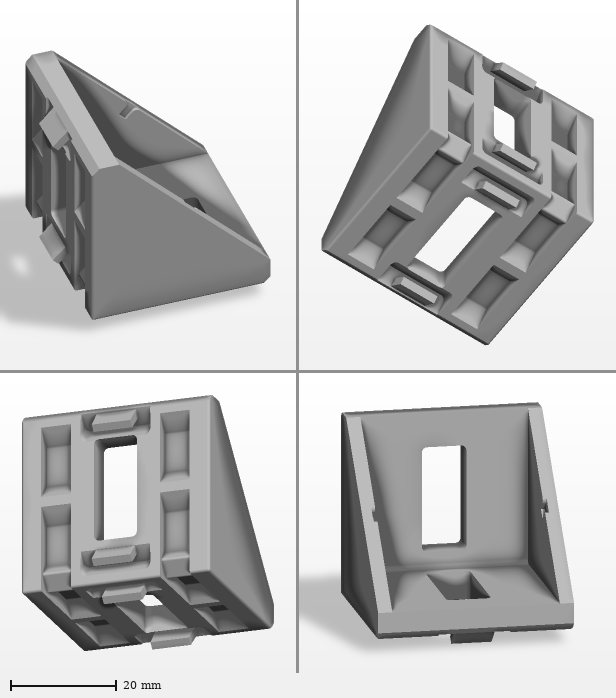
import cadquery as cq
import math


width = 38.0
leg = 36.0
plate_thickness = 5.5
wall_thickness = 2.75
end_chamfer = 1.5
outer_fillet = 0.5
inner_fillet = 1.0

slot_width = 8.6
slot_start = 8.8
slot_end = 29.35
slot_corner_radius = 1.0

pocket_width = 6.0
pocket_center_x = 12.0
pocket_depth = 3.1
end_pocket_start = 19.0
end_pocket_end = 33.0
corner_pocket_end = 17.0
pocket_fillet = 0.45
corner_pocket_fillet = 0.65
corner_rib_offset = 3.0
corner_rib_tip = 4.4
corner_rib_fillet = 0.45

draft_angle = 1.0
tab_pitch = 27.1
tab_tip_width = 7.8
tab_tip_thickness = 1.57
tab_reach = 2.52
lower_tab_tip_height = 4.33
lower_recess_bottom = 2.1
lower_recess_top = 7.0
upper_recess_top = 35.15
recess_width = 14.0
recess_corner_radius = 1.0

notch_width = 2.1
notch_depth = 3.0
notch_into_wall = 0.75
notch_lip_radius = 0.95

clearance = 5.0


def mirrored_pair(shape):
    """The shape together with its mirror image about the plane y = z."""
    return shape.union(shape.mirror(cq.Vector(0, 1, -1), (0, 0, 0)))


def x_prism(points, x_start, x_end):
    """Extrude an outline given as (y, z) points between two X positions."""
    return cq.Workplane("YZ", origin=(x_start, 0, 0)).polyline(points).close().extrude(x_end - x_start)


def body():
    """Solid wedge with chamfered ends and rounded edges around both mounting faces."""
    outline = [
        (0, 0),
        (leg - end_chamfer, 0),
        (leg, end_chamfer),
        (leg, plate_thickness),
        (plate_thickness, leg),
        (end_chamfer, leg),
        (0, leg - end_chamfer),
    ]
    block = x_prism(outline, -width / 2, width / 2)
    corner_edge = block.edges("|X").edges(cq.NearestToPointSelector((0, 0, 0)))
    side_edges = block.faces("<Y or <Z").edges("|Y or |Z")
    return block.newObject(corner_edge.vals() + side_edges.vals()).fillet(outer_fillet)


def interior():
    """Space between the plates and the side walls, open through the sloping side."""
    inner_x = width / 2 - wall_thickness
    triangle = [
        (plate_thickness, plate_thickness),
        (leg, plate_thickness),
        (plate_thickness, leg),
    ]
    space = x_prism(triangle, -inner_x, inner_x)
    return space.edges(cq.NearestToPointSelector((0, plate_thickness, plate_thickness))).fillet(inner_fillet)


def screw_slot():
    """Slot through the plate at y = 0."""
    slot = cq.Workplane("XY").box(slot_width, plate_thickness, slot_end - slot_start)
    slot = slot.edges("|Y").fillet(slot_corner_radius)
    return slot.translate((0, plate_thickness / 2, (slot_start + slot_end) / 2))


def end_pocket(x_start):
    """Pocket near the free end of the plate at y = 0."""
    outline = [
        (0, end_pocket_start),
        (pocket_depth, end_pocket_start + pocket_depth),
        (pocket_depth, end_pocket_end - pocket_depth),
        (0, end_pocket_end),
    ]
    pocket = x_prism(outline, x_start, x_start + pocket_width)
    far_edge = cq.NearestToPointSelector((x_start + pocket_width / 2, *outline[2]))
    return pocket.edges(far_edge).fillet(pocket_fillet)


def corner_pocket(x_start):
    """Pocket that runs around the bracket's corner and leaves a diagonal rib inside it."""
    tip_near = (corner_rib_tip - corner_rib_offset) / 2
    tip_far = (corner_rib_tip + corner_rib_offset) / 2
    upper_half = [
        (0, corner_pocket_end),
        (pocket_depth, corner_pocket_end - pocket_depth),
        (pocket_depth, pocket_depth + corner_rib_offset),
        (tip_near, tip_far),
    ]
    lower_half = [(z, y) for y, z in reversed(upper_half)]
    pocket = x_prism([(0, 0)] + upper_half + lower_half, x_start, x_start + pocket_width)
    radii = [pocket_fillet, corner_pocket_fillet, corner_rib_fillet]
    for (y, z), radius in zip(upper_half[1:], radii):
        for edge_point in ((y, z), (z, y)):
            nearest = cq.NearestToPointSelector((x_start + pocket_width / 2, *edge_point))
            pocket = pocket.edges("|X").edges(nearest).fillet(radius)
    return pocket


def leaning_plane(height):
    """Plane through (y, z) = (0, height) whose normal leans out and down at 45 degrees."""
    return cq.Plane(origin=(0, 0, height), xDir=(1, 0, 0), normal=(0, -1, -1))


def recess(bottom, top):
    """Recess around a tab: a floor and a ledge at 45 degrees, widening outwards by the draft."""
    ledge = (bottom - top) / math.sqrt(2)
    half = recess_width / 2
    radius = recess_corner_radius
    return (
        cq.Workplane(leaning_plane(top))
        .moveTo(-half, clearance)
        .lineTo(-half, ledge + radius)
        .radiusArc((-half + radius, ledge), -radius)
        .lineTo(half - radius, ledge)
        .radiusArc((half, ledge + radius), -radius)
        .lineTo(half, clearance)
        .close()
        .extrude(2 * clearance, taper=-draft_angle)
    )


def tab(tip_height, recess_top):
    """Tapered tab standing on its recess floor; tip_height is Z of the tip's outermost edge."""
    length = (recess_top - tip_height + tab_reach) / math.sqrt(2)
    growth = 2 * length * math.tan(math.radians(draft_angle))
    tip_upper_side = (tip_height + tab_reach - recess_top) / math.sqrt(2)
    return (
        cq.Workplane(leaning_plane(recess_top))
        .center(0, tip_upper_side - tab_tip_thickness / 2)
        .rect(tab_tip_width + growth, tab_tip_thickness + growth)
        .extrude(length, taper=draft_angle)
    )


def rim_notch(x_start):
    """Notch across the middle of a wall's sloping rim, with rounded lips."""
    rim = cq.Plane(
        origin=(x_start, (leg + plate_thickness) / 2, (leg + plate_thickness) / 2),
        xDir=(0, 1, -1),
        normal=(1, 0, 0),
    )
    half = notch_width / 2
    lip = notch_lip_radius
    return (
        cq.Workplane(rim)
        .moveTo(-half - lip, 0)
        .radiusArc((-half, -lip), lip)
        .lineTo(-half, -notch_depth)
        .lineTo(half, -notch_depth)
        .lineTo(half, -lip)
        .radiusArc((half + lip, 0), lip)
        .close()
        .extrude(notch_into_wall)
    )


result = body().cut(interior()).cut(mirrored_pair(screw_slot()))

for column_x in (-pocket_center_x, pocket_center_x):
    pocket_start_x = column_x - pocket_width / 2
    result = result.cut(mirrored_pair(end_pocket(pocket_start_x)))
    result = result.cut(corner_pocket(pocket_start_x))

inner_wall_x = width / 2 - wall_thickness
for notch_start_x in (-inner_wall_x - notch_into_wall, inner_wall_x):
    result = result.cut(rim_notch(notch_start_x))

for offset, recess_top in ((0, lower_recess_top), (tab_pitch, upper_recess_top)):
    result = result.cut(mirrored_pair(recess(lower_recess_bottom + offset, recess_top)))
    result = result.union(mirrored_pair(tab(lower_tab_tip_height + offset, recess_top)))